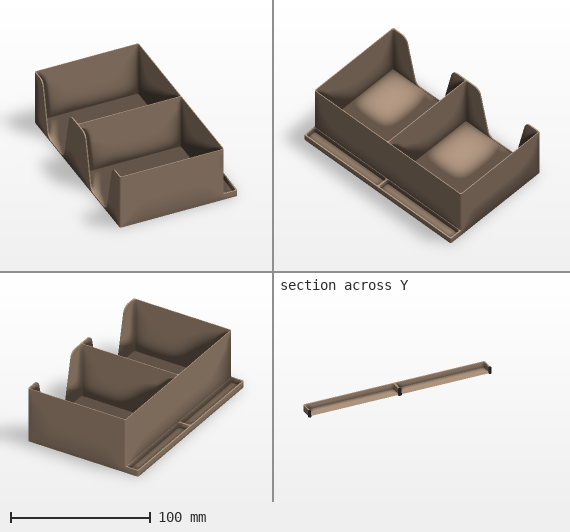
import cadquery as cq

total_length = 144.4
total_depth = 93.0
total_height = 44.3

bin_wall = 0.6
front_wall = 1.0
tray_wall = 1.0
floor_thickness = 0.6
outer_radius = 1.2
inner_radius = 1.4

cell_count = 2
cell_pitch = (total_length - bin_wall) / cell_count
cell_width = cell_pitch + bin_wall

bin_depth = 82.4
tray_height = 5.0
tray_start = bin_depth - bin_wall
tray_depth = total_depth - tray_start

sill_height = 1.0
cutout_top_width = 46.0
cutout_bottom_width = 26.6
cutout_radius = 6.0


def rounded_block(x, y, z, width, depth, height, radius):
    """Block with its low corner at (x, y, z) and rounded vertical edges."""
    block = cq.Workplane("XY").box(width, depth, height, centered=False)
    return block.edges("|Z").fillet(radius).translate((x, y, z))


def outer_body():
    """Tall block for the bins on a low base that also carries the trays."""
    bins = rounded_block(0, 0, 0, total_length, bin_depth, total_height, outer_radius)
    base = rounded_block(0, 0, 0, total_length, total_depth, tray_height, outer_radius)
    return bins.union(base)


def bin_pocket(cell_x):
    width = cell_width - 2 * bin_wall
    depth = bin_depth - front_wall - bin_wall
    return rounded_block(
        cell_x + bin_wall, front_wall, floor_thickness, width, depth, total_height, inner_radius
    )


def tray_pocket(cell_x):
    width = cell_width - 2 * tray_wall
    depth = tray_depth - 2 * tray_wall
    return rounded_block(
        cell_x + tray_wall, tray_start + tray_wall, floor_thickness, width, depth, tray_height, inner_radius
    )


def finger_cutout(cell_x):
    """Tapered opening with rounded bottom corners that flares out into the rim."""
    middle = cell_x + cell_width / 2
    half_top = cutout_top_width / 2
    half_bottom = cutout_bottom_width / 2
    half_flare = half_top + cutout_radius
    above_rim = total_height + cutout_radius
    profile = [
        (middle - half_bottom, sill_height),
        (middle + half_bottom, sill_height),
        (middle + half_top, total_height),
        (middle + half_flare, total_height),
        (middle + half_flare, above_rim),
        (middle - half_flare, above_rim),
        (middle - half_flare, total_height),
        (middle - half_top, total_height),
    ]
    cutter = cq.Workplane("XZ").polyline(profile).close().extrude(-front_wall)
    taper_corners = cq.selectors.BoxSelector(
        (middle - half_top - bin_wall, -front_wall, 0),
        (middle + half_top + bin_wall, 2 * front_wall, total_height + bin_wall),
    )
    return cutter.edges("|Y").edges(taper_corners).fillet(cutout_radius)


result = outer_body()
for cell in range(cell_count):
    cell_start = cell * cell_pitch
    result = result.cut(bin_pocket(cell_start))
    result = result.cut(tray_pocket(cell_start))
    result = result.cut(finger_cutout(cell_start))